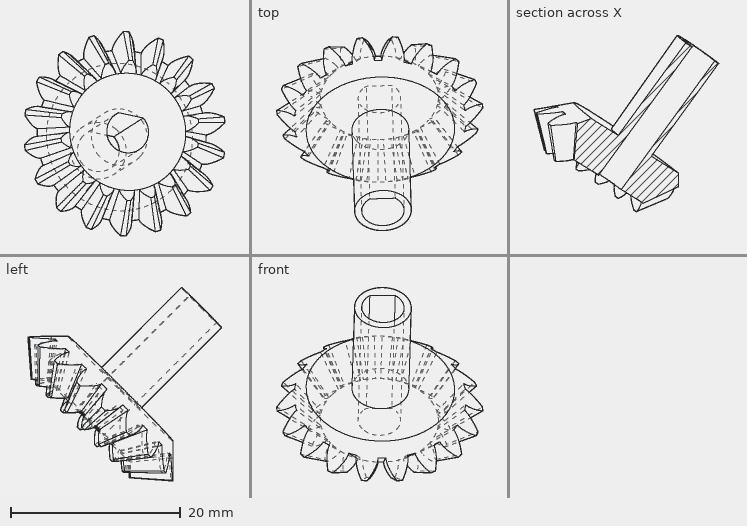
import cadquery as cq
import math


MODULE = 1.25
TEETH = 18
PRESSURE_ANGLE = math.radians(25)
PITCH_ANGLE = math.radians(45)
FACE_WIDTH = 5.0
DEDENDUM_FACTOR = 1.25
FLANK_STEPS = 6
CUTTER_EXCESS = 0.5
BACK_FACE_OFFSET = 2 * MODULE

SHAFT_DIAMETER = 6.7
SHAFT_LENGTH = 13.5
BORE_DIAMETER = 5.0
FLAT_DISTANCE = 2.0

TILT = 45
SWING = 1.8

pitch_radius = MODULE * TEETH / 2
cone_distance = pitch_radius / math.sin(PITCH_ANGLE)
apex_height = pitch_radius / math.tan(PITCH_ANGLE)
addendum = MODULE
dedendum = DEDENDUM_FACTOR * MODULE
inner_scale = 1 - FACE_WIDTH / cone_distance

virtual_pitch_radius = pitch_radius / math.cos(PITCH_ANGLE)
virtual_base_radius = virtual_pitch_radius * math.cos(PRESSURE_ANGLE)
virtual_root_radius = virtual_pitch_radius - dedendum
cutter_radius = virtual_pitch_radius + addendum + CUTTER_EXCESS
virtual_teeth = TEETH / math.cos(PITCH_ANGLE)

back_height = apex_height + BACK_FACE_OFFSET
shaft_end = back_height + SHAFT_LENGTH


def back_cone_point(height_above_pitch):
    """Radius and axial height on the back cone, offset from the pitch circle along the tooth."""
    radius = pitch_radius + height_above_pitch * math.cos(PITCH_ANGLE)
    height = apex_height - height_above_pitch * math.sin(PITCH_ANGLE)
    return radius, height


def involute_angle(radius):
    """Polar angle of the involute at a radius; zero at and below the base circle."""
    if radius <= virtual_base_radius:
        return 0.0
    pressure = math.acos(virtual_base_radius / radius)
    return math.tan(pressure) - pressure


def gap_half_angle(radius):
    """Half of the tooth gap, as an angle on the unrolled back cone."""
    at_pitch = math.pi / (2 * virtual_teeth)
    return at_pitch + involute_angle(radius) - involute_angle(virtual_pitch_radius)


def gap_point(virtual_radius, side, level):
    """Flank point projected from the apex onto the plane at the given level."""
    radius, height = back_cone_point(virtual_radius - virtual_pitch_radius)
    angle = side * gap_half_angle(virtual_radius) / math.cos(PITCH_ANGLE)
    projected = radius * level / height
    return projected * math.sin(angle), -projected * math.cos(angle)


def make_blank():
    """Solid of revolution enclosing the teeth, up to the flat back face."""
    tip_radius, tip_height = back_cone_point(addendum)
    root_radius, root_height = back_cone_point(-dedendum)
    back_radius = pitch_radius - BACK_FACE_OFFSET * math.tan(math.pi / 2 - PITCH_ANGLE)
    profile = [
        (0, root_height * inner_scale),
        (root_radius * inner_scale, root_height * inner_scale),
        (tip_radius * inner_scale, tip_height * inner_scale),
        (tip_radius, tip_height),
        (back_radius, back_height),
        (0, back_height),
    ]
    return cq.Workplane("XZ").polyline(profile).close().revolve(360, (0, 0), (0, 1))


def gap_section(workplane, level):
    """Outline of one tooth gap on the plane at the given level."""
    step = (cutter_radius - virtual_root_radius) / FLANK_STEPS
    radii = [virtual_root_radius + step * i for i in range(FLANK_STEPS + 1)]
    left = [gap_point(radius, -1, level) for radius in radii]
    right = [gap_point(radius, 1, level) for radius in reversed(radii)]
    return (
        workplane.moveTo(*left[0])
        .spline(left[1:], includeCurrent=True)
        .lineTo(*right[0])
        .spline(right[1:], includeCurrent=True)
        .close()
    )


def make_gap_cutter():
    """Tooth gap tapering towards the pitch apex."""
    low = apex_height * inner_scale / 2
    high = back_height
    section = gap_section(cq.Workplane("XY").workplane(offset=low), low)
    return gap_section(section.workplane(offset=high - low), high).loft(ruled=True)


def make_bore():
    """D-shaped through bore, its flat facing +Y."""
    bore = cq.Workplane("XY").circle(BORE_DIAMETER / 2).extrude(shaft_end)
    keep = cq.Workplane("XY").box(
        BORE_DIAMETER, BORE_DIAMETER, shaft_end, centered=(True, False, False)
    ).translate((0, FLAT_DISTANCE - BORE_DIAMETER, 0))
    return bore.intersect(keep)


def make_shaft():
    """Plain round shaft standing on the back face."""
    base = cq.Workplane("XY").workplane(offset=back_height)
    return base.circle(SHAFT_DIAMETER / 2).extrude(SHAFT_LENGTH)


def make_gear():
    """Toothed blank with evenly spaced gaps, the first one centred on -Y."""
    gear = make_blank()
    cutter = make_gap_cutter()
    for tooth in range(TEETH):
        gear = gear.cut(cutter.rotate((0, 0, 0), (0, 0, 1), 360 / TEETH * tooth))
    return gear


upright = make_gear().union(make_shaft()).cut(make_bore())
tilted = upright.rotate((0, 0, 0), (1, 0, 0), TILT)
result = tilted.rotate((0, 0, 0), (0, 0, 1), SWING)